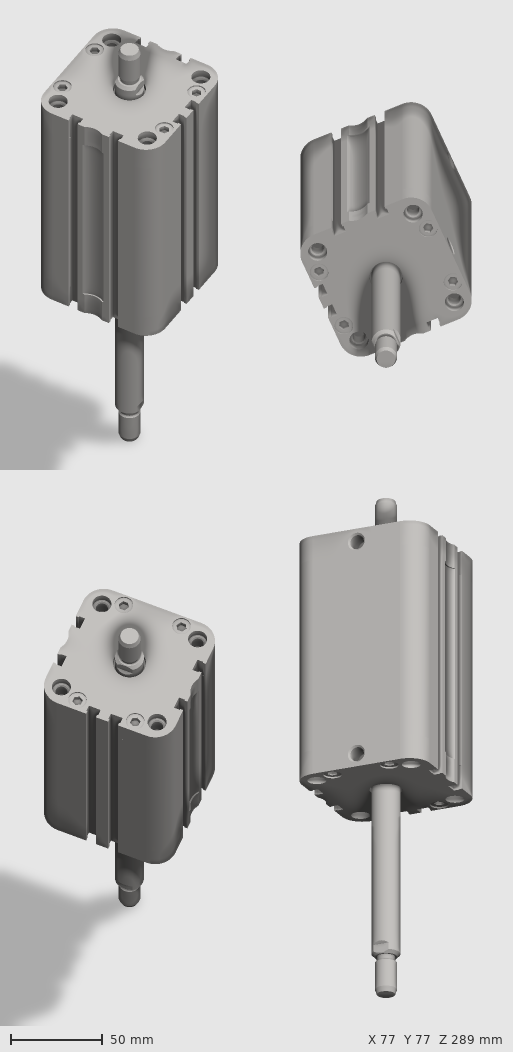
import cadquery as cq
import math


width = 77.0
corner_radius = 12.0
housing_length = 139.3
cap_thickness = 14.0
tube_length = housing_length - 2 * cap_thickness

slot_opening = 5.8
slot_inner_width = 7.0
slot_lip = 1.7
slot_depth = 5.2
slot_pitch_y_sides = 25.7
slot_pitch_x_side = 13.0

groove_diameter = 20.5
groove_half_width = 5.5

lip_bevel_width = 0.3
groove_bevel_width = 0.3
groove_bevel_depth = 1.0

mount_diameter = 10.5
mount_depth = 4.5
mount_chamfer_diameter = 8.0
mount_through_diameter = 6.6
mount_offset = 28.3

screw_recess_diameter = 10.0
screw_recess_depth = 1.0
screw_x = 32.5
screw_y = 17.0
socket_corner_diameter = 5.8
socket_depth = 3.0

port_diameter = 8.0
port_chamfer_diameter = 10.0
port_depth = 11.5
port_from_end = 7.5

rod_diameter = 16.0
rod_clearance_diameter = 18.0
rod_clearance_depth = 3.0
rod_length = 289.0
rod_below = 120.0
thread_diameter = 12.0
thread_tip_diameter = 10.0
thread_tip_height = 3.0
thread_length = 18.5
neck_diameter = 10.0
neck_taper = 1.0
shoulder_from_tip = 22.0
shoulder_chamfer = 1.7
flat_width = 13.0
flat_length = 5.5


def slot_cutter(length, lip_extension=0):
    """A T-slot open at the y = 0 plane and cutting towards -Y, its +X lip grown by lip_extension."""
    opening_width = slot_opening - lip_extension
    opening = cq.Workplane("XY").center(-lip_extension / 2, 0).rect(opening_width, 2 * slot_lip)
    inside_height = slot_depth - slot_lip
    inside_y = -slot_lip - inside_height / 2
    inside = cq.Workplane("XY").center(0, inside_y).rect(slot_inner_width, inside_height)
    return opening.extrude(length).union(inside.extrude(length))


def groove_cutter(length, sink):
    """A shallow arc groove in the +Y side, lowered by sink."""
    radius = groove_diameter / 2
    center_y = width / 2 - sink + math.sqrt(radius**2 - groove_half_width**2)
    return cq.Workplane("XY").center(0, center_y).circle(radius).extrude(length)


def make_profile(length, groove_sink=0, lip_extension=0):
    """A length of the rounded square housing section, with slots, grooves and the rod bore."""
    section = cq.Workplane("XY").rect(width, width).extrude(length)
    section = section.edges("|Z").fillet(corner_radius)

    y_side_slot = slot_cutter(length, lip_extension)
    y_side_slot = y_side_slot.translate((slot_pitch_y_sides / 2, width / 2, 0))
    groove = groove_cutter(length, groove_sink)
    for cutter in (y_side_slot, y_side_slot.mirror("YZ"), groove):
        section = section.cut(cutter).cut(cutter.mirror("XZ"))

    x_side_slot = slot_cutter(length).rotate((0, 0, 0), (0, 0, 1), -90)
    for y in (-slot_pitch_x_side / 2, slot_pitch_x_side / 2):
        section = section.cut(x_side_slot.translate((width / 2, y, 0)))

    bore = cq.Workplane("XY").circle(rod_diameter / 2).extrude(length)
    return section.cut(bore)


def make_tube():
    """The tube between the caps, with bevels that the caps do not have."""
    tube = make_profile(tube_length, groove_bevel_depth, lip_bevel_width)
    side = width / 2

    groove_edges = [
        (-groove_half_width - groove_bevel_width, side),
        (-groove_half_width, side - groove_bevel_depth),
        (groove_half_width, side - groove_bevel_depth),
        (groove_half_width + groove_bevel_width, side),
    ]
    groove_cut = cq.Workplane("XY").polyline(groove_edges).close().extrude(tube_length)

    lip = slot_pitch_y_sides / 2 + slot_opening / 2
    lip_edge = [(lip, side), (lip - lip_bevel_width, side), (lip - lip_bevel_width, side - slot_lip)]
    lip_cut = cq.Workplane("XY").polyline(lip_edge).close().extrude(tube_length)

    for cutter in (groove_cut, lip_cut, lip_cut.mirror("YZ")):
        tube = tube.cut(cutter).cut(cutter.mirror("XZ"))
    return tube


def mount_hole_cutter():
    """A counterbored hole with a chamfered mouth, through the cap from the z = 0 plane down."""
    counterbore = mount_diameter / 2
    mouth = mount_chamfer_diameter / 2
    hole = mount_through_diameter / 2
    outline = [
        (0, 0),
        (counterbore, 0),
        (counterbore, -mount_depth),
        (mouth, -mount_depth),
        (hole, -mount_depth - (mouth - hole)),
        (hole, -cap_thickness),
        (0, -cap_thickness),
    ]
    return cq.Workplane("XZ").polyline(outline).close().revolve(360, (0, 0, 0), (0, 1, 0))


def make_cap():
    """An end cap whose outer face is its top, with Z = 0 on the face against the tube."""
    cap = make_profile(cap_thickness)

    cap = cap.cut(
        cq.Workplane("XY", origin=(0, 0, cap_thickness))
        .circle(rod_clearance_diameter / 2)
        .extrude(-rod_clearance_depth)
    )

    for x in (-mount_offset, mount_offset):
        for y in (-mount_offset, mount_offset):
            cap = cap.cut(mount_hole_cutter().translate((x, y, cap_thickness)))

    for x, turn in ((-screw_x, 30), (screw_x, 0)):
        for y in (-screw_y, screw_y):
            recess = cq.Workplane("XY").circle(screw_recess_diameter / 2).extrude(-screw_recess_depth)
            socket = cq.Workplane("XY").polygon(6, socket_corner_diameter)
            socket = socket.extrude(-screw_recess_depth - socket_depth).rotate((0, 0, 0), (0, 0, 1), turn)
            cap = cap.cut(recess.union(socket).translate((x, y, cap_thickness)))

    return (
        cap.faces("<X")
        .workplane(origin=(-width / 2, 0, cap_thickness - port_from_end))
        .cskHole(port_diameter, port_chamfer_diameter, 90, depth=port_depth)
    )


def make_rod_end():
    """The upper half of the rod, with its tip at Z = 0."""
    tip = thread_tip_diameter / 2
    thread = thread_diameter / 2
    neck = neck_diameter / 2
    rod = rod_diameter / 2
    outline = [
        (0, 0),
        (tip, 0),
        (thread, -thread_tip_height),
        (thread, -thread_length),
        (neck, -thread_length - neck_taper),
        (neck, -shoulder_from_tip),
        (rod - shoulder_chamfer, -shoulder_from_tip),
        (rod, -shoulder_from_tip - shoulder_chamfer),
        (rod, -rod_length / 2),
        (0, -rod_length / 2),
    ]
    end = cq.Workplane("XZ").polyline(outline).close().revolve(360, (0, 0, 0), (0, 1, 0))

    flat = flat_width / 2
    notch_outline = [
        (flat, -shoulder_from_tip),
        (flat, -shoulder_from_tip - flat_length),
        (rod, -shoulder_from_tip - flat_length - (rod - flat)),
        (rod, -shoulder_from_tip),
    ]
    notch = cq.Workplane("XZ").polyline(notch_outline).close().extrude(rod, both=True)
    return end.cut(notch).cut(notch.mirror("YZ"))


def make_rod():
    upper = make_rod_end()
    lower = upper.mirror("XY").translate((0, 0, -rod_length))
    return upper.union(lower).translate((0, 0, rod_length - rod_below))


tube = make_tube().translate((0, 0, cap_thickness))
cap = make_cap()
upper_cap = cap.translate((0, 0, cap_thickness + tube_length))
lower_cap = cap.mirror("XY").translate((0, 0, cap_thickness))
rod = make_rod()

result = cq.Compound.makeCompound([tube.val(), upper_cap.val(), lower_cap.val(), rod.val()])